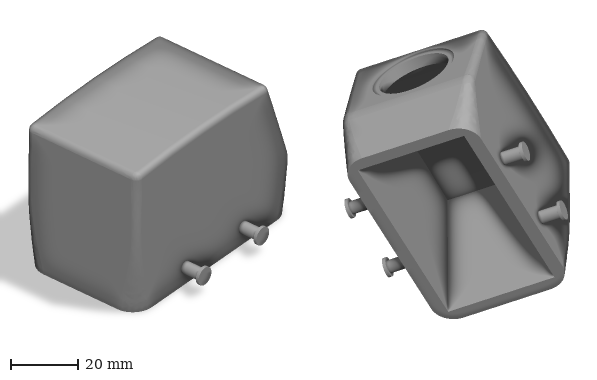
import cadquery as cq
import math

width = 42.9
base_length = 73.0
height = 51.9
half_base = base_length / 2
end_draft = 0.2

bend_height = 20.1
shoulder_height = 50.65
shoulder_y = 25.7
front_top_y = -36.0
slope_bottom_y = half_base - end_draft
slope_run = slope_bottom_y - shoulder_y
slope_rise = shoulder_height - bend_height
slope_length = math.hypot(slope_run, slope_rise)

base_corner = 7.3
middle_corner = 4.6
bend_corner = 2.7
upper_corner = 2.1
top_corner = 2.05
loft_top = height + 0.7
top_edge_radius = 2.0
bend_radius = 11.7

wall = 4.1

entry_diameter = 22.4
recess_diameter = 26.4
recess_depth = 0.5
entry_y = 30.8

peg_span = 58.0
peg_pitch = 27.0
peg_height = 6.1
peg_diameter = 4.0
peg_head_diameter = 6.05
peg_head_thickness = 1.0


def slope_y(z):
    """Y of the sloping face plane at height z."""
    return slope_bottom_y - slope_run * (z - bend_height) / slope_rise


def front_y(z):
    """Y of the slightly leaning front face at height z."""
    return -half_base + (front_top_y + half_base) * z / shoulder_height


def back_y(z):
    """Y of the back end at height z: near upright below the bend, sloping above."""
    if z <= bend_height:
        return half_base - end_draft * z / bend_height
    return slope_y(z)


def section(z, corner, back):
    """Rounded rectangular wire of the hood at height z, reaching from the front face to back."""
    front = front_y(z)
    outline = cq.Sketch().rect(width, back - front).vertices().fillet(corner)
    placed = outline.moved(cq.Location(cq.Vector(0, (front + back) / 2, z)))
    return placed.faces().vals()[0].outerWire()


def crowned_space(inset=0.0):
    """Block whose upper side is the shallow arched roof, lowered by inset."""
    reach = base_length * 0.6
    middle_y = (shoulder_y + front_top_y) / 2
    half_chord = (shoulder_y - front_top_y) / 2
    sag = height - shoulder_height
    radius = (half_chord**2 + sag**2) / (2 * sag)
    edge_z = height - radius + math.sqrt(radius**2 - reach**2) - inset
    return (
        cq.Workplane("YZ")
        .moveTo(middle_y - reach, 0)
        .lineTo(middle_y - reach, edge_z)
        .threePointArc((middle_y, height - inset), (middle_y + reach, edge_z))
        .lineTo(middle_y + reach, 0)
        .close()
        .extrude(width, both=True)
    )


def half_space(side):
    """Large block on one side of the XZ plane; side is -1 for the front, 1 for the back."""
    return cq.Workplane("XY").box(2 * width, base_length, 4 * height).translate((0, side * half_base, 0))


def loft(sections):
    return cq.Workplane(obj=cq.Solid.makeLoft(sections))


def solid_hood():
    """Outer form: smooth front corners, back corners that bend with the sloping face."""
    base = (0, base_corner)
    middle = (bend_height / 2, middle_corner)
    bend = (bend_height, bend_corner)
    upper = ((bend_height + loft_top) / 2, upper_corner)
    top = (loft_top, top_corner)

    front = loft([section(z, r, half_base) for z, r in (base, middle, bend, upper, top)])
    back_low = loft([section(z, r, back_y(z)) for z, r in (base, middle, bend)])
    back_high = loft([section(z, r, back_y(z)) for z, r in (bend, upper, top)])

    back = back_low.union(back_high)
    margin = 0.1
    bend_edge = cq.selectors.BoxSelector(
        (-width, slope_bottom_y - margin, bend_height - margin),
        (width, half_base, bend_height + margin),
    )
    back = back.edges(bend_edge).fillet(bend_radius)
    hood = front.intersect(half_space(-1)).union(back.intersect(half_space(1))).clean()
    hood = hood.intersect(crowned_space())
    return hood.faces(">Z").edges().fillet(top_edge_radius)


def cavity():
    """Space inside the walls, open at the base."""
    slope_shift = wall * slope_length / slope_rise
    inner_profile = (
        cq.Workplane("YZ")
        .polyline([
            (front_y(0) + wall, 0),
            (front_y(height) + wall, height),
            (slope_y(height) - slope_shift, height),
            (slope_y(bend_height) - slope_shift, bend_height),
            (half_base - wall, 0),
        ])
        .close()
        .extrude(width / 2 - wall, both=True)
    )
    return inner_profile.intersect(crowned_space(wall))


def cable_entry():
    """Round opening with a shallow recess, square to the sloping face."""
    entry_z = bend_height + (slope_bottom_y - entry_y) * slope_rise / slope_run
    outward = cq.Vector(0, slope_rise, slope_run)
    plane = cq.Plane((0, entry_y, entry_z), (1, 0, 0), outward)
    hole = cq.Workplane(plane).circle(entry_diameter / 2).extrude(2 * wall, both=True)
    recess = cq.Workplane(plane).circle(recess_diameter / 2).extrude(recess_depth, both=True)
    return hole.union(recess)


def peg(side, y):
    """Headed peg standing out of one side wall; side is -1 or 1."""
    root = width / 2 - wall / 2
    tip = peg_span / 2
    plane = cq.Plane((side * root, y, peg_height), (0, 1, 0), (side, 0, 0))
    shank = cq.Workplane(plane).circle(peg_diameter / 2).extrude(tip - root)
    head = (
        cq.Workplane(plane)
        .workplane(offset=tip - root - peg_head_thickness)
        .circle(peg_head_diameter / 2)
        .extrude(peg_head_thickness)
    )
    return shank.union(head)


result = solid_hood().cut(cavity()).cut(cable_entry())
for side in (-1, 1):
    for y in (-peg_pitch / 2, peg_pitch / 2):
        result = result.union(peg(side, y))